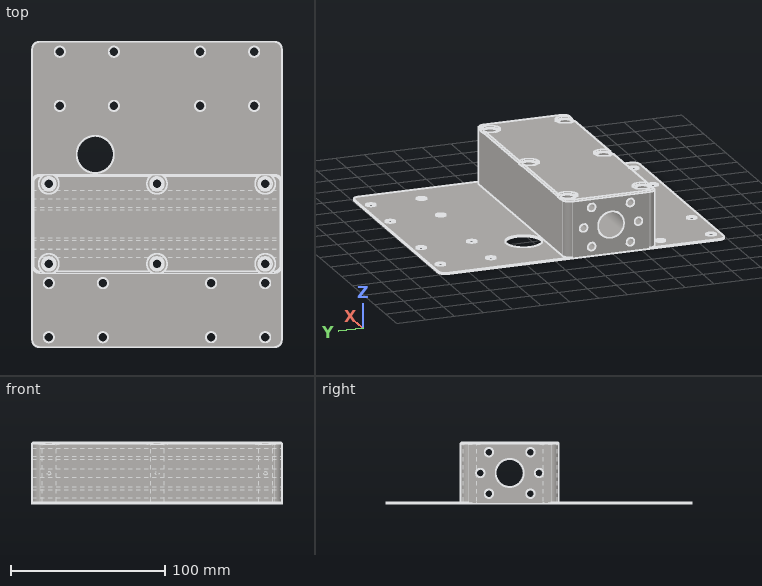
import cadquery as cq
import math

plate_length_x = 162.0
plate_length_y = 198.0
plate_thickness = 1.0
plate_corner_radius = 5.0

total_height = 40.0
block_width = 63.8
block_center_y = -19.0
block_corner_radius = 5.0
block_top_chamfer = 1.0
block_height = total_height - plate_thickness

plate_hole_diameter = 6.5
hole_pitch = 35.0
outer_row_y = 92.5
inner_row_y = outer_row_y - hole_pitch
front_outer_x = 2 * hole_pitch
rear_outer_x = 63.0

opening_diameter = 24.0
opening_x = -40.0
opening_y = 26.0

screw_clearance_diameter = 9.0
counterbore_diameter = 13.0
counterbore_depth = 1.4
screw_offset_y = 26.0
screw_pitch_x = front_outer_x

bore_diameter = 18.0
bore_center_z = total_height / 2
ring_hole_diameter = 5.3
ring_radius = 19.0
ring_angles = (0, 45, 135, 180, 225, 315)


def vertical_cylinders(points, diameter, bottom_z, top_z):
    """Upright cylinders between two heights, used as cutters."""
    return (
        cq.Workplane("XY", origin=(0, 0, bottom_z))
        .pushPoints(points)
        .circle(diameter / 2)
        .extrude(top_z - bottom_z)
    )


def lengthwise_cylinders(points, diameter):
    """Cylinders along the full X length; points are (Y, Z) offsets from the bore axis."""
    return (
        cq.Workplane("YZ", origin=(-plate_length_x / 2, block_center_y, bore_center_z))
        .pushPoints(points)
        .circle(diameter / 2)
        .extrude(plate_length_x)
    )


def mounting_points(outer_x, side):
    """Eight hole centres for one plate edge; side is -1 for the front and +1 for the rear."""
    inner_x = outer_x - hole_pitch
    return [
        (x, side * y)
        for x in (-outer_x, -inner_x, inner_x, outer_x)
        for y in (inner_row_y, outer_row_y)
    ]


plate = (
    cq.Workplane("XY")
    .box(plate_length_x, plate_length_y, plate_thickness, centered=(True, True, False))
    .edges("|Z")
    .fillet(plate_corner_radius)
)

block = (
    cq.Workplane("XY", origin=(0, block_center_y, plate_thickness))
    .box(plate_length_x, block_width, block_height, centered=(True, True, False))
    .edges("|Z")
    .fillet(block_corner_radius)
    .faces(">Z")
    .chamfer(block_top_chamfer)
)

screw_points = [
    (x, block_center_y + y)
    for x in (-screw_pitch_x, 0, screw_pitch_x)
    for y in (-screw_offset_y, screw_offset_y)
]
ring_points = [
    (ring_radius * math.cos(math.radians(angle)), ring_radius * math.sin(math.radians(angle)))
    for angle in ring_angles
]
plate_hole_points = mounting_points(front_outer_x, -1) + mounting_points(rear_outer_x, 1) + screw_points

result = plate.union(block)

result = result.cut(vertical_cylinders(plate_hole_points, plate_hole_diameter, 0, plate_thickness))
result = result.cut(vertical_cylinders([(opening_x, opening_y)], opening_diameter, 0, plate_thickness))

counterbore_floor_z = total_height - counterbore_depth
result = result.cut(
    vertical_cylinders(screw_points, screw_clearance_diameter, plate_thickness, total_height)
)
result = result.cut(
    vertical_cylinders(screw_points, counterbore_diameter, counterbore_floor_z, total_height)
)

result = result.cut(lengthwise_cylinders([(0, 0)], bore_diameter))
result = result.cut(lengthwise_cylinders(ring_points, ring_hole_diameter))